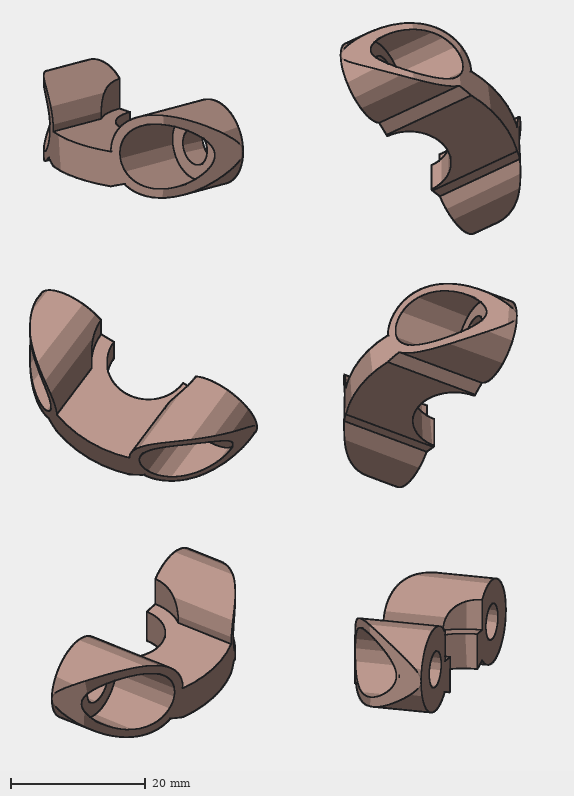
import cadquery as cq
import math

length = 39.0
depth = 16.0
tube_diameter = 13.0
pocket_diameter = 10.15
bolt_diameter = 5.5
bolt_seat_thickness = 3.9
web_thickness = 5.45
neck_radius = 6.2
washer_radius = 8.5
bevel_end_x = 8.58

tube_radius = tube_diameter / 2
tube_x = length / 2 - tube_radius
rim_radius = ((length / 2) ** 2 + depth ** 2) / (2 * depth)
rim_center_y = rim_radius - depth
web_half_width = tube_x - tube_radius
bevel_end_z = -math.sqrt(tube_radius ** 2 - (tube_x - bevel_end_x) ** 2)


def rod(x, diameter, back_offset=0.0):
    """Cylinder along -Y, starting at a distance in front of the back face."""
    start = cq.Workplane("XZ", origin=(x, -back_offset, 0))
    return start.circle(diameter / 2).extrude(depth - back_offset)


def web():
    """Plate joining the tubes, with its underside bevelled up to meet them."""
    return (
        cq.Workplane("XZ")
        .moveTo(-tube_x, 0)
        .lineTo(tube_x, 0)
        .lineTo(bevel_end_x, bevel_end_z)
        .lineTo(web_half_width, -web_thickness)
        .lineTo(-web_half_width, -web_thickness)
        .lineTo(-bevel_end_x, bevel_end_z)
        .close()
        .extrude(depth)
    )


def upright_cylinder(radius, center_y, bottom, height):
    base = cq.Workplane("XY", origin=(0, center_y, bottom))
    return base.circle(radius).extrude(height)


body = web()
for x in (-tube_x, tube_x):
    body = body.union(rod(x, tube_diameter))
body = body.intersect(upright_cylinder(rim_radius, rim_center_y, -tube_radius, tube_diameter))

for x in (-tube_x, tube_x):
    body = body.cut(rod(x, bolt_diameter))
    body = body.cut(rod(x, pocket_diameter, bolt_seat_thickness))

body = body.cut(upright_cylinder(washer_radius, 0, 0, tube_radius))
result = body.cut(upright_cylinder(neck_radius, 0, -tube_radius, tube_diameter))